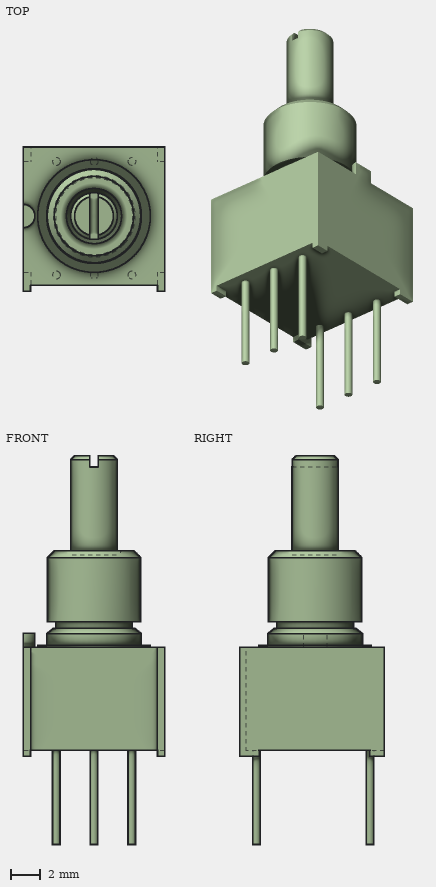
import cadquery as cq

width = 9.55
back_y = 4.67
front_y = -4.67
cheek_front_y = -5.08
cheek_thickness = 0.5
housing_bottom = 6.35
housing_top = 13.31

foot_bottom = 5.95
back_foot_inner_y = 3.7
front_foot_inner_y = -3.77

tab_radius = 0.79
tab_top = 14.25

washer_radius = 3.8
washer_top = 13.42
collar_radius = 3.2
collar_shoulder = 14.2
collar_top_radius = 2.75
collar_top = 14.57
neck_radius = 2.6
bushing_radius = 3.15
bushing_bottom = 15.02
bushing_top = 19.81
bushing_chamfer = 0.47
countersink_radius = 1.85

shaft_radius = 1.57
shaft_top = 26.2
shaft_chamfer = 0.25
slot_width = 0.55
slot_depth = 0.75

pin_radius = 0.25
pin_pitch = 2.55
pin_row_y = (-3.95, 3.7)


def block(x_range, y_range, z_range):
    """Box spanning the given limits."""
    (x0, x1), (y0, y1), (z0, z1) = x_range, y_range, z_range
    return cq.Workplane("XY").box(x1 - x0, y1 - y0, z1 - z0, centered=False).translate((x0, y0, z0))


def make_housing():
    """Square body between two cheeks that stand proud in front and end in feet."""
    half = width / 2
    body = block((-half, half), (front_y, back_y), (housing_bottom, housing_top))
    for cheek_x in ((-half, -half + cheek_thickness), (half - cheek_thickness, half)):
        cheek = block(cheek_x, (cheek_front_y, back_y), (foot_bottom, housing_top))
        foot_gap = block(cheek_x, (front_foot_inner_y, back_foot_inner_y), (foot_bottom, housing_bottom))
        body = body.union(cheek.cut(foot_gap))
    return body


def make_tab():
    """Half-round tab rising flush with the -X face."""
    return (
        cq.Workplane("XY", origin=(-width / 2, 0, housing_bottom))
        .moveTo(0, -tab_radius)
        .threePointArc((tab_radius, 0), (0, tab_radius))
        .close()
        .extrude(tab_top - housing_bottom)
    )


def make_turned_parts():
    """Washer, collar, neck, bushing and shaft revolved about Z."""
    countersink_depth = countersink_radius - shaft_radius
    profile = [
        (0, housing_bottom),
        (washer_radius, housing_bottom),
        (washer_radius, washer_top),
        (collar_radius, washer_top),
        (collar_radius, collar_shoulder),
        (collar_top_radius, collar_top),
        (neck_radius, collar_top),
        (neck_radius, bushing_bottom),
        (bushing_radius, bushing_bottom),
        (bushing_radius, bushing_top - bushing_chamfer),
        (bushing_radius - bushing_chamfer, bushing_top),
        (countersink_radius, bushing_top),
        (shaft_radius, bushing_top - countersink_depth),
        (shaft_radius, shaft_top - shaft_chamfer),
        (shaft_radius - shaft_chamfer, shaft_top),
        (0, shaft_top),
    ]
    return cq.Workplane("XZ").polyline(profile).close().revolve(360, (0, 0), (0, 1))


def make_slot():
    """Screwdriver slot running along Y across the shaft end."""
    return block(
        (-slot_width / 2, slot_width / 2),
        (-shaft_radius, shaft_radius),
        (shaft_top - slot_depth, shaft_top),
    )


def make_pins():
    """Two rows of three round pins under the housing."""
    centers = [(column * pin_pitch, y) for y in pin_row_y for column in (-1, 0, 1)]
    return cq.Workplane("XY").pushPoints(centers).circle(pin_radius).extrude(housing_top)


result = make_housing().union(make_tab()).union(make_turned_parts()).union(make_pins()).cut(make_slot())